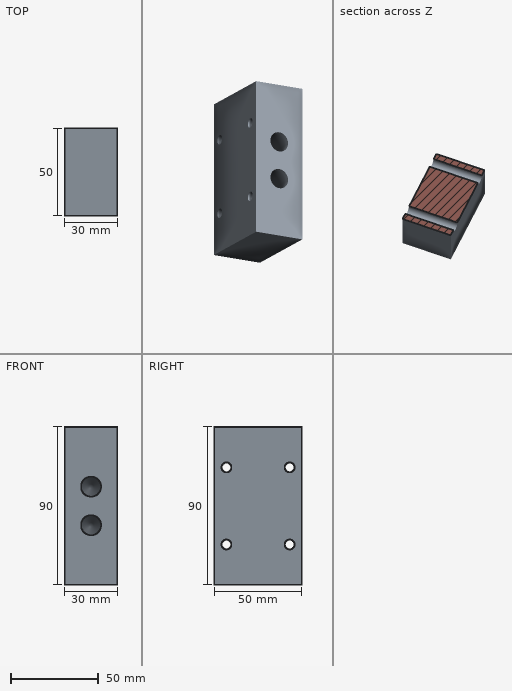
import cadquery as cq
import math

width = 30.0
depth = 50.0
height = 90.0

port_diameter = 11.4
port_spacing = 22.0
port_depth = 18.0
drill_point_angle = 118.0

mount_diameter = 5.5
mount_spacing_y = 36.0
mount_spacing_z = 2 * port_spacing

mid_height = height / 2


def drilled_port(center_z):
    """Return the revolved cutter of one port: a straight bore ending in a drill point."""
    radius = port_diameter / 2
    point_length = radius / math.tan(math.radians(drill_point_angle / 2))
    profile = (
        cq.Workplane("XY", origin=(0, -depth / 2, center_z))
        .lineTo(radius, 0)
        .lineTo(radius, port_depth)
        .lineTo(0, port_depth + point_length)
        .close()
    )
    return profile.revolve(360, (0, 0), (0, 1))


def mounting_holes():
    """Return the cutter of the four mounting holes."""
    return (
        cq.Workplane("YZ", origin=(-width / 2, 0, mid_height))
        .rect(mount_spacing_y, mount_spacing_z, forConstruction=True)
        .vertices()
        .circle(mount_diameter / 2)
        .extrude(width)
    )


result = cq.Workplane("XY").box(width, depth, height, centered=(True, True, False))
for side in (-1, 1):
    result = result.cut(drilled_port(mid_height + side * port_spacing / 2))
result = result.cut(mounting_holes())